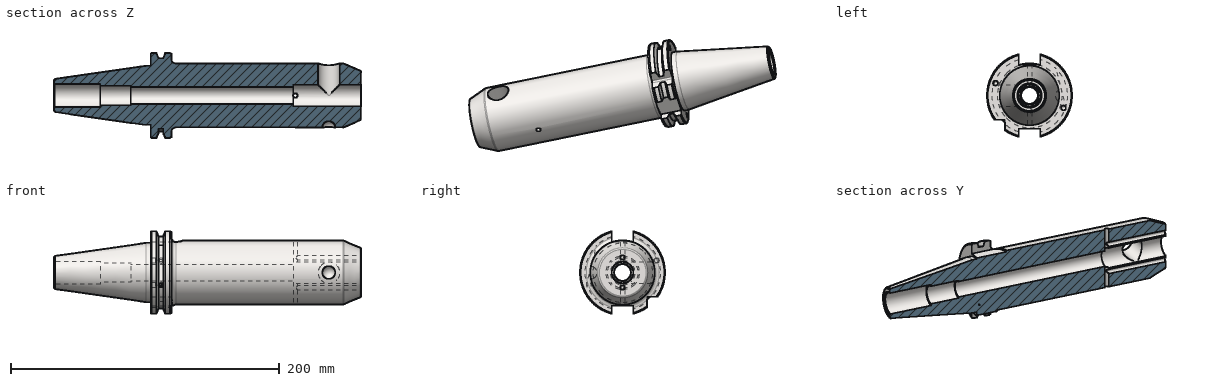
import cadquery as cq
import math

total_length = 228.5
edge_bevel = 1.0

gauge_radius = 22.2
taper_length = 68.3
taper_end_radius = 12.3
taper_slope = (gauge_radius - taper_end_radius) / taper_length

flange_radius = 31.7
flange_start = 72.0
flange_end = 87.5
groove_center = 79.5
groove_root_radius = 28.0
groove_root_width = 3.5
groove_wall_angle = 23.0
flange_front_bevel = 0.7
flange_back_bevel_height = 0.7
flange_back_bevel_length = 1.4

nose_radius = 24.0
neck_fillet = 3.2
nose_cone_start = 215.2
nose_end_radius = 18.3
nose_edge_round = 1.4
nose_shoulder_round = 2.3

keyway_width = 16.0
keyway_end = 96.4
upper_keyway_height = 22.8
lower_keyway_height = 25.0

notch_side = 18.3
notch_height = 18.0
notch_corner = 1.1

flat_distance = 24.0
flat_tilt = 14.5
flat_width = 3.5

port_circle_radius = 27.0
port_angle = 20.0
face_port_diameter = 3.7
face_port_depth = 3.5
root_port_diameter = 3.0
root_port_depth = 3.5
drill_point_angle = 118.0

shank_entry_radius = 8.5
shank_entry_depth = 34.3
shank_entry_bevel = 0.7
shank_step_radius = 7.0
shank_step_depth = 57.0
channel_radius = 6.2
tool_bore_radius = 8.0
tool_bore_depth = 50.2

clamp_x = 204.5
clamp_diameter = 16.0
balance_diameter = 9.5

cross_hole_x = 179.5
cross_hole_diameter = 3.2
nose_channel_offset = 11.2
nose_channel_diameter = 3.2


def cylinder_along(start, direction, radius, length):
    """Plain cylinder from a start point along a direction."""
    return cq.Workplane(cq.Solid.makeCylinder(radius, length, cq.Vector(*start), cq.Vector(*direction)))


def drilled_hole(start, direction, radius, depth):
    """Cylinder that ends in a conical drill point."""
    point_length = radius / math.tan(math.radians(drill_point_angle / 2))
    axis = cq.Vector(*direction).normalized()
    tip_base = cq.Vector(*start) + axis * depth
    cone = cq.Solid.makeCone(radius, 0, point_length, tip_base, axis)
    return cylinder_along(start, direction, radius, depth).union(cq.Workplane(cone))


def make_body():
    """Revolve the outer profile of taper, flange and nose."""
    root_half = groove_root_width / 2
    wall_run = (flange_radius - groove_root_radius) * math.tan(math.radians(groove_wall_angle))
    top_half = root_half + wall_run
    neck_x = flange_end + neck_fillet
    neck_center_radius = nose_radius + neck_fillet
    fillet_mid = neck_fillet * math.sqrt(0.5)
    profile = (
        cq.Workplane("XY")
        .lineTo(0, taper_end_radius - edge_bevel)
        .lineTo(edge_bevel, taper_end_radius + taper_slope * edge_bevel)
        .lineTo(taper_length, gauge_radius)
        .lineTo(flange_start, gauge_radius)
        .lineTo(flange_start, flange_radius - flange_front_bevel)
        .lineTo(flange_start + flange_front_bevel, flange_radius)
        .lineTo(groove_center - top_half, flange_radius)
        .lineTo(groove_center - root_half, groove_root_radius)
        .lineTo(groove_center + root_half, groove_root_radius)
        .lineTo(groove_center + top_half, flange_radius)
        .lineTo(flange_end - flange_back_bevel_length, flange_radius)
        .lineTo(flange_end, flange_radius - flange_back_bevel_height)
        .lineTo(flange_end, neck_center_radius)
        .threePointArc((neck_x - fillet_mid, neck_center_radius - fillet_mid), (neck_x, nose_radius))
        .lineTo(nose_cone_start, nose_radius)
        .lineTo(total_length, nose_end_radius)
        .lineTo(total_length, 0)
        .close()
    )
    body = profile.revolve(360, (0, 0, 0), (1, 0, 0))
    body = body.faces(">X").edges().fillet(nose_edge_round)
    shoulder = cq.selectors.NearestToPointSelector((nose_cone_start, 0, 0))
    return body.edges(shoulder).fillet(nose_shoulder_round)


def make_keyway(floor_height, side):
    """Slot cutter from the flange face to its round end, above (side 1) or below (side -1) the axis."""
    half_width = keyway_width / 2
    arc_center = keyway_end - half_width
    return (
        cq.Workplane("XY", origin=(0, 0, side * floor_height))
        .moveTo(flange_start, -half_width)
        .lineTo(arc_center, -half_width)
        .threePointArc((keyway_end, 0), (arc_center, half_width))
        .lineTo(flange_start, half_width)
        .close()
        .extrude(side * flange_radius)
    )


def make_notch():
    """Rectangular notch through the flange on the +Y, -Z side."""
    return (
        cq.Workplane("XY")
        .box(flange_end - flange_start, flange_radius, flange_radius, centered=False)
        .edges("|X and <Y and >Z")
        .fillet(notch_corner)
        .translate((flange_start, notch_side, -notch_height - flange_radius))
    )


def make_flat():
    """Cutter for the flat on the groove root, tilted up from -Y."""
    cutter = cq.Workplane("XY").box(flat_width, flange_radius, 2 * flange_radius)
    cutter = cutter.translate((groove_center, -flat_distance - flange_radius / 2, 0))
    return cutter.rotate((0, 0, 0), (1, 0, 0), -flat_tilt)


def make_flange_ports(side):
    """Axial port in the flange face and radial port in the groove root, on the +Y or -Y side."""
    across = side * math.cos(math.radians(port_angle))
    up = side * math.sin(math.radians(port_angle))
    face_start = (flange_start, port_circle_radius * across, port_circle_radius * up)
    face_port = drilled_hole(face_start, (1, 0, 0), face_port_diameter / 2, face_port_depth)
    root_start = (groove_center, groove_root_radius * across, groove_root_radius * up)
    root_port = drilled_hole(root_start, (0, -across, -up), root_port_diameter / 2, root_port_depth)
    return face_port.union(root_port)


def make_bore():
    """Stepped bore through the whole length."""
    bore = cylinder_along((0, 0, 0), (1, 0, 0), channel_radius, total_length)
    bore = bore.union(cylinder_along((0, 0, 0), (1, 0, 0), shank_entry_radius, shank_entry_depth))
    entry_cone = cq.Solid.makeCone(
        shank_entry_radius + shank_entry_bevel,
        shank_entry_radius,
        shank_entry_bevel,
        cq.Vector(0, 0, 0),
        cq.Vector(1, 0, 0),
    )
    bore = bore.union(cq.Workplane(entry_cone))
    bore = bore.union(cylinder_along((0, 0, 0), (1, 0, 0), shank_step_radius, shank_step_depth))
    return bore.union(cylinder_along((total_length, 0, 0), (-1, 0, 0), tool_bore_radius, tool_bore_depth))


def make_balance_hollow():
    """Spherical hollow on the -Y side of the nose."""
    ball = cq.Workplane("XY").sphere(balance_diameter / 2)
    return ball.translate((clamp_x, -nose_radius, 0))


def make_nose_channels():
    """Two axial channels from the end face, fed by one cross hole through the nose."""
    channels = cylinder_along(
        (cross_hole_x, 0, -nose_radius), (0, 0, 1), cross_hole_diameter / 2, 2 * nose_radius
    )
    for height in (-nose_channel_offset, nose_channel_offset):
        channels = channels.union(
            cylinder_along(
                (cross_hole_x, 0, height), (1, 0, 0), nose_channel_diameter / 2, total_length - cross_hole_x
            )
        )
    return channels


result = make_body()
result = result.cut(make_keyway(upper_keyway_height, 1))
result = result.cut(make_keyway(lower_keyway_height, -1))
result = result.cut(make_notch())
result = result.cut(make_flat())
for side in (-1, 1):
    result = result.cut(make_flange_ports(side))
result = result.cut(make_bore())
result = result.cut(cylinder_along((clamp_x, 0, 0), (0, 1, 0), clamp_diameter / 2, nose_radius))
result = result.cut(make_balance_hollow())
result = result.cut(make_nose_channels())